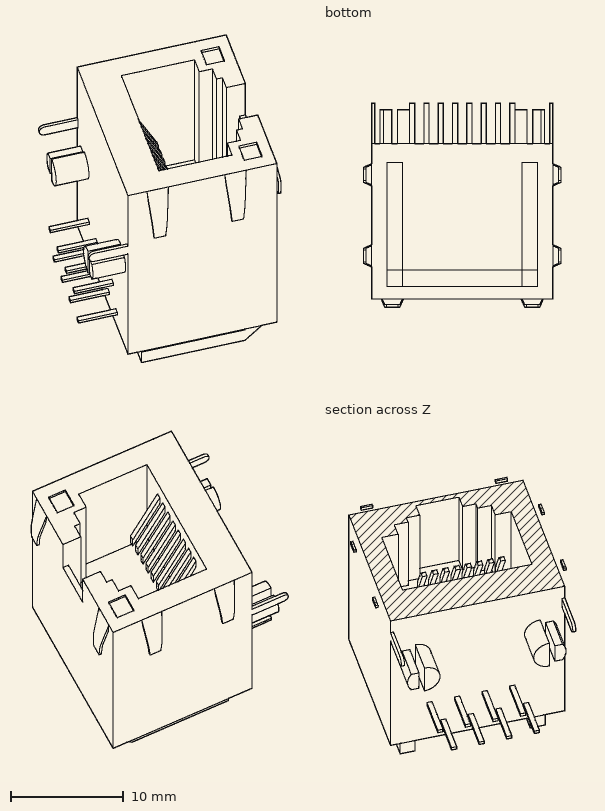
import cadquery as cq
import math


BODY_WIDTH = 16.1
BODY_DEPTH = 13.8
BODY_HEIGHT = 20.95

CAVITY_DROP = 13.2
CAVITY_HALF_WIDTH = 5.95
CAVITY_FRONT = 3.48
SHOULDER_LEVEL = 10.25
OUTER_STEP_HALF_WIDTH = 4.46
OUTER_STEP_LEVEL = 11.47
INNER_STEP_HALF_WIDTH = 3.2
INNER_STEP_LEVEL = 12.02
LATCH_HALF_WIDTH = 1.97
BACK_WALL = 0.55
BACK_SLOT_DROP = 4.15

CONTACT_COUNT = 8
CONTACT_PITCH = 1.03
CONTACT_WIDTH = 0.45
CONTACT_REACH = 2.7
CONTACT_ANGLE = 26.0
CONTACT_START_DROP = 1.92
CONTACT_THICKNESS = 0.48
CONTACT_ROOT = 0.45

WINDOW_WIDTH = 1.78
WINDOW_DEPTH = 1.65
WINDOW_X = 5.98
WINDOW_Y = 11.95
WINDOW_DROP = 0.3

CLIP_REACH = 0.75
CLIP_DROP = 5.52
CLIP_BEND_START = 3.3
CLIP_BEND_END = 4.5
CLIP_THICKNESS = 0.25
CLIP_TOP_WIDTH = 2.0
CLIP_TIP_WIDTH = 1.05
SIDE_CLIP_YS = (2.75, 9.95)
BACK_CLIP_X = 6.22

PIN_LENGTH = 3.6
PIN_WIDTH = 0.48
PIN_THICKNESS = 0.3
PIN_PITCH = 1.27
PIN_COUNT = 8
PIN_ROW_ZS = (4.37, 1.82)

BLADE_THICKNESS = 0.3
BLADE_HEIGHT = 1.05
BLADE_Z = 13.75

PEG_LENGTH = 3.02
PEG_RADIUS = 1.45
PEG_X = 5.75
PEG_Z = 10.68
PEG_OUTER_RADIUS = 1.55
PEG_OUTER_HEIGHT = 1.95
PEG_SLOT = 0.5

RAIL_DROP = 3.05
RAIL_OUTER_X = 6.7
RAIL_WIDTH = 1.4
RAIL_NECK_INSET = 0.22
RAIL_FRONT = 1.65
PLATE_FRONT = 11.23
PLATE_BACK = 12.7
PLATE_DROP = 1.65


def box(x_range, y_range, z_range):
    size = [high - low for low, high in (x_range, y_range, z_range)]
    corner = (x_range[0], y_range[0], z_range[0])
    return cq.Workplane("XY").box(*size, centered=False).translate(corner)


def centered_range(center, width):
    return (center - width / 2, center + width / 2)


def both_sides(solid):
    return solid.union(solid.mirror("YZ"))


def make_housing():
    half_width = BODY_WIDTH / 2
    return box((-half_width, half_width), (0, BODY_DEPTH), (0, BODY_HEIGHT))


def make_cavity():
    inner_back = BODY_DEPTH - BACK_WALL
    right_outline = [
        (CAVITY_HALF_WIDTH, CAVITY_FRONT),
        (CAVITY_HALF_WIDTH, SHOULDER_LEVEL),
        (OUTER_STEP_HALF_WIDTH, SHOULDER_LEVEL),
        (OUTER_STEP_HALF_WIDTH, OUTER_STEP_LEVEL),
        (INNER_STEP_HALF_WIDTH, OUTER_STEP_LEVEL),
        (INNER_STEP_HALF_WIDTH, INNER_STEP_LEVEL),
        (LATCH_HALF_WIDTH, INNER_STEP_LEVEL),
        (LATCH_HALF_WIDTH, inner_back),
    ]
    left_outline = [(-x, y) for x, y in reversed(right_outline)]
    cavity = (
        cq.Workplane("XY", origin=(0, 0, BODY_HEIGHT))
        .polyline(right_outline + left_outline)
        .close()
        .extrude(-CAVITY_DROP)
    )
    back_slot = box(
        (-LATCH_HALF_WIDTH, LATCH_HALF_WIDTH),
        (INNER_STEP_LEVEL, BODY_DEPTH),
        (BODY_HEIGHT - BACK_SLOT_DROP, BODY_HEIGHT),
    )
    return cavity.union(back_slot)


def make_windows():
    window = box(
        centered_range(WINDOW_X, WINDOW_WIDTH),
        centered_range(WINDOW_Y, WINDOW_DEPTH),
        (BODY_HEIGHT - WINDOW_DROP, BODY_HEIGHT),
    )
    return both_sides(window)


def make_contacts():
    """Springs that slope from the front cavity wall down into the cavity."""
    slope = 1 / math.tan(math.radians(CONTACT_ANGLE))
    thickness_drop = CONTACT_THICKNESS / math.sin(math.radians(CONTACT_ANGLE))
    wall_top = BODY_HEIGHT - CONTACT_START_DROP
    tip_y = CAVITY_FRONT + CONTACT_REACH
    tip_top = wall_top - CONTACT_REACH * slope
    root_y = CAVITY_FRONT - CONTACT_ROOT
    profile = [
        (root_y, wall_top),
        (CAVITY_FRONT, wall_top),
        (tip_y, tip_top),
        (tip_y, tip_top - thickness_drop),
        (CAVITY_FRONT, wall_top - thickness_drop),
        (root_y, wall_top - thickness_drop),
    ]
    contact = cq.Workplane("YZ").polyline(profile).close().extrude(CONTACT_WIDTH / 2, both=True)
    contacts = cq.Workplane("XY")
    for index in range(CONTACT_COUNT):
        x = (index - (CONTACT_COUNT - 1) / 2) * CONTACT_PITCH
        contacts = contacts.union(contact.translate((x, 0, 0)))
    return contacts


def make_clip():
    """Tapered clip at x = 0 leaning outward along +X; its top edge is at z = 0."""
    bend_middle = (CLIP_BEND_START + CLIP_BEND_END) / 2
    lean = math.atan(CLIP_REACH / bend_middle)
    bend_radius = (CLIP_BEND_END - bend_middle) / math.tan(lean / 2)
    inner_radius = bend_radius - CLIP_THICKNESS
    center_x = CLIP_REACH - bend_radius

    def bend_point(radius, angle):
        return (center_x + radius * math.cos(angle), radius * math.sin(angle) - CLIP_BEND_END)

    inner_start = bend_point(inner_radius, lean)
    top_inner_x = -CLIP_THICKNESS / math.cos(lean)
    side = (
        cq.Workplane("XZ")
        .moveTo(0, 0)
        .lineTo(*bend_point(bend_radius, lean))
        .threePointArc(bend_point(bend_radius, lean / 2), bend_point(bend_radius, 0))
        .lineTo(CLIP_REACH, -CLIP_DROP)
        .lineTo(CLIP_REACH - CLIP_THICKNESS, -CLIP_DROP)
        .lineTo(*bend_point(inner_radius, 0))
        .threePointArc(bend_point(inner_radius, lean / 2), inner_start)
        .lineTo(top_inner_x, 0)
        .close()
        .extrude(CLIP_TOP_WIDTH / 2, both=True)
    )
    taper = (
        cq.Workplane("YZ")
        .polyline([
            (-CLIP_TOP_WIDTH / 2, 0),
            (CLIP_TOP_WIDTH / 2, 0),
            (CLIP_TIP_WIDTH / 2, -CLIP_DROP),
            (-CLIP_TIP_WIDTH / 2, -CLIP_DROP),
        ])
        .close()
        .extrude(BODY_WIDTH / 2, both=True)
    )
    return side.intersect(taper)


def make_clips():
    clip = make_clip()
    back_clip = clip.rotate((0, 0, 0), (0, 0, 1), 90)
    clips = back_clip.translate((BACK_CLIP_X, BODY_DEPTH, BODY_HEIGHT))
    for y in SIDE_CLIP_YS:
        clips = clips.union(clip.translate((BODY_WIDTH / 2, y, BODY_HEIGHT)))
    return both_sides(clips)


def make_pins():
    """Solder pins in a row that alternates between two heights."""
    pins = cq.Workplane("XY")
    for index in range(PIN_COUNT):
        x = (index - (PIN_COUNT - 1) / 2) * PIN_PITCH
        z = PIN_ROW_ZS[index % len(PIN_ROW_ZS)]
        pin = box(centered_range(x, PIN_WIDTH), (-PIN_LENGTH, 0), centered_range(z, PIN_THICKNESS))
        pins = pins.union(pin)
    return pins


def make_blades():
    """Thin blades flush with the housing sides, with a fully rounded tip."""
    tip_radius = BLADE_HEIGHT / 2
    arc_start_y = tip_radius - PIN_LENGTH
    bottom_z = BLADE_Z - tip_radius
    top_z = BLADE_Z + tip_radius
    blade = (
        cq.Workplane("YZ", origin=(BODY_WIDTH / 2, 0, 0))
        .moveTo(0, bottom_z)
        .lineTo(arc_start_y, bottom_z)
        .threePointArc((-PIN_LENGTH, BLADE_Z), (arc_start_y, top_z))
        .lineTo(0, top_z)
        .close()
        .extrude(-BLADE_THICKNESS)
    )
    return both_sides(blade)


def make_pegs():
    """Round pegs split by a slot; the outer part has a larger radius and has a flat top and bottom."""
    center = cq.Workplane("XZ", origin=(PEG_X, 0, PEG_Z))
    inner_side = box((0, PEG_X), (-PEG_LENGTH, 0), (0, BODY_HEIGHT))
    inner_part = center.circle(PEG_RADIUS).extrude(PEG_LENGTH).intersect(inner_side)
    outer_side = box(
        (PEG_X + PEG_SLOT, BODY_WIDTH / 2),
        (-PEG_LENGTH, 0),
        centered_range(PEG_Z, PEG_OUTER_HEIGHT),
    )
    outer_part = center.circle(PEG_OUTER_RADIUS).extrude(PEG_LENGTH).intersect(outer_side)
    return both_sides(inner_part.union(outer_part))


def make_base():
    """Rails with a narrower neck, joined by a cross plate near the back."""
    rail = (
        cq.Workplane("YZ", origin=(RAIL_OUTER_X - RAIL_WIDTH, 0, 0))
        .polyline([
            (RAIL_FRONT, -PLATE_DROP),
            (PLATE_BACK, -PLATE_DROP),
            (PLATE_FRONT, -RAIL_DROP),
            (RAIL_FRONT, -RAIL_DROP),
        ])
        .close()
        .extrude(RAIL_WIDTH)
    )
    neck = box(
        (RAIL_OUTER_X - RAIL_WIDTH + RAIL_NECK_INSET, RAIL_OUTER_X - RAIL_NECK_INSET),
        (RAIL_FRONT, PLATE_BACK),
        (-PLATE_DROP, 0),
    )
    plate = box((-RAIL_OUTER_X, RAIL_OUTER_X), (PLATE_FRONT, PLATE_BACK), (-PLATE_DROP, 0))
    return both_sides(rail.union(neck)).union(plate)


result = make_housing().cut(make_cavity()).cut(make_windows())
for feature in (make_contacts, make_clips, make_pins, make_blades, make_pegs, make_base):
    result = result.union(feature())